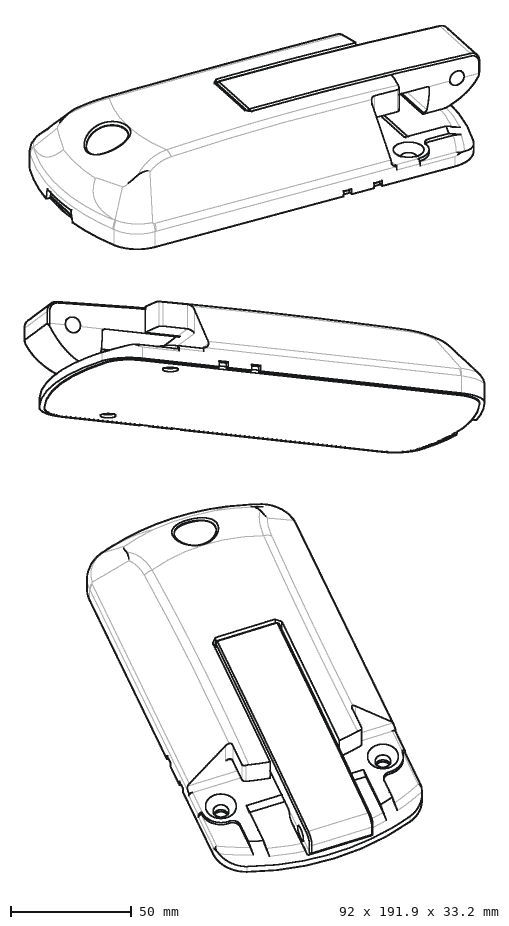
import cadquery as cq
import math

half_width = 46.0
half_length = 91.5
end_radius = 104.0
corner_radius = 15.0
total_height = 33.22
end_center = half_length - end_radius

plate_thickness = 1.35
plate_inset = 2.1
housing_bottom = 0.4

rim_height = 10.05
rim_fillet = 5.5
taper_angle = math.radians(48.75)
taper_top = 34.0
taper_top_corner = 6.5
top_edge_fillet = 4.8
core_inset = 0.03
core_foot_z = 0.0

crown_radius = 1760.0
crown_axis_y = -end_center
nose_radius = 34.0

deck_height = 7.95
rear_wall_y = 41.2
rear_wall_fillet = 2.3
deck_edge_fillet = 1.6
prong_half_width = 26.6
prong_underside = 21.4
prong_end_y = 58.9
prong_end_radius = 102.0
prong_corner_fillet = 1.5

slope_start = 93.8
slope_drop_per_mm = 0.375
pocket_floor = 6.5
pocket_crease = 96.7
pocket_edge = 100.2
pocket_half_width = 26.0
pocket_ramp_start = 58.0
pocket_ramp_end = 60.75
corner_pocket_inner_x = 32.0
corner_pocket_fillet = 3.4
corner_pocket_edge_fillet = 1.2
corner_pocket_setback = 1.0
cutter_top = 60.0

screw_x = 36.0
screw_y = 54.5
screw_diameter = 6.4
countersink_diameter = 12.8
countersink_angle = 90.0
screw_pad_radius = 8.5

clip_half_width = 14.1
clip_front_y = -9.2
clip_rear_y = 100.43
clip_underside = prong_underside
clip_rear_corner = 4.5
clip_edge_chamfer = 0.8
foot_front_y = 76.3
foot_rear_y = 85.5
heel_y = 95.8
heel_z = 14.6
toe_length = 1.5
toe_height = 0.9
foot_bottom = 7.0
foot_narrowing = 3.0
foot_inner_fillet = 1.2
pivot_y = 89.35
pivot_z = 21.7
pivot_diameter = 6.7
slot_gap = 1.3
slot_corner = 2.2

button_y = -68.2
button_radius = 8.7
button_chamfer = 1.0
button_sink = 1.3
button_bottom = 18.0

front_notch_bottom_half = 11.4
front_notch_top_half = 10.2
front_notch_height = 5.75
front_notch_depth = 2.5
side_notch_width = 3.9
side_notch_height = 2.9
side_notch_centers = (34.65, 20.25)


def outline(inset, radius, height):
    """Closed plan outline, moved inward by inset, with the given corner radius."""
    side = half_width - inset
    bow = end_radius - inset
    front = half_length - inset
    bow_center = front - bow
    corner_x = side - radius
    corner_y = bow_center + math.sqrt((bow - radius) ** 2 - corner_x ** 2)
    spread = math.atan2(corner_x, corner_y - bow_center)
    join = (bow * math.sin(spread), bow_center + bow * math.cos(spread))
    turn = (math.pi / 2 - spread) / 2
    middle = (corner_x + radius * math.cos(turn), corner_y + radius * math.sin(turn))
    return (
        cq.Workplane("XY").workplane(offset=height)
        .moveTo(side, -corner_y).lineTo(side, corner_y)
        .threePointArc(middle, join)
        .threePointArc((0, front), (-join[0], join[1]))
        .threePointArc((-middle[0], middle[1]), (-side, corner_y))
        .lineTo(-side, -corner_y)
        .threePointArc((-middle[0], -middle[1]), (-join[0], -join[1]))
        .threePointArc((0, -front), (join[0], -join[1]))
        .threePointArc((middle[0], -middle[1]), (side, -corner_y))
        .close()
    )


def block(x_min, x_max, y_min, y_max, z_min, z_max):
    return cq.Workplane("XY").box(
        x_max - x_min, y_max - y_min, z_max - z_min, centered=False
    ).translate((x_min, y_min, z_min))


def crown_height(distance):
    """Height of the crowned top at a distance from the crown axis."""
    return total_height - crown_radius + math.sqrt(crown_radius ** 2 - distance ** 2)


def turned(profile, axis_y):
    """Turns a closed radius-height profile about a vertical axis at X = 0, seam to the rear."""
    solid = profile.revolve(360, (0, 0, 0), (0, 1, 0))
    return solid.rotate((0, 0, 0), (0, 0, 1), 90).translate((0, axis_y, 0))


crown_lean = taper_angle - math.acos(
    (
        (end_radius - core_inset) * math.sin(taper_angle)
        + (rim_height + crown_radius - total_height) * math.cos(taper_angle)
        - nose_radius
    ) / (crown_radius - nose_radius)
)
nose_start = crown_radius * math.sin(crown_lean)
nose_center = (
    nose_start - nose_radius * math.sin(crown_lean),
    crown_height(nose_start) - nose_radius * math.cos(crown_lean),
)


def nose_point(angle, radius=nose_radius):
    return (
        nose_center[0] + radius * math.sin(angle),
        nose_center[1] + radius * math.cos(angle),
    )


def slope_run(height):
    """Plan distance that a sloped wall covers while rising by height."""
    return height / math.tan(taper_angle)


def crowned_dome():
    foot = end_radius - core_inset + slope_run(rim_height - core_foot_z)
    profile = (
        cq.Workplane("XZ").moveTo(0, core_foot_z).lineTo(foot, core_foot_z)
        .lineTo(*nose_point(taper_angle))
        .threePointArc(
            nose_point((crown_lean + taper_angle) / 2),
            (nose_start, crown_height(nose_start)),
        )
        .threePointArc((nose_start / 2, crown_height(nose_start / 2)), (0, total_height))
        .close()
    )
    return turned(profile, crown_axis_y)


def crowned_core():
    """Sloped sides under the crown, with the long top edges and the hips of the nose rounded."""
    foot = half_width - core_inset + slope_run(rim_height - core_foot_z)
    ridge = half_width - core_inset - slope_run(taper_top - rim_height)
    prism = (
        cq.Workplane("XZ")
        .polyline([(foot, core_foot_z), (ridge, taper_top), (-ridge, taper_top), (-foot, core_foot_z)])
        .close().extrude(half_length + prong_end_y + corner_radius)
        .translate((0, prong_end_y, 0))
    )
    core = crowned_dome().intersect(prism)
    edges = [
        edge for edge in core.edges().vals()
        if abs(edge.Center().x) > prong_half_width / 2
        and edge.BoundingBox().ylen > top_edge_fillet / 2
        and edge.BoundingBox().zmax > rim_height
    ]
    return core.newObject(edges).fillet(top_edge_fillet)


def walled_block():
    """Straight rim and tapered walls with corners that tighten toward the top."""
    rim = outline(0, corner_radius, housing_bottom).extrude(rim_height - housing_bottom)
    lower = outline(0, corner_radius, rim_height).val()
    upper = outline(slope_run(taper_top - rim_height), taper_top_corner, taper_top).val()
    taper = cq.Workplane(cq.Solid.makeLoft([lower, upper], True))
    rim_band = cq.selectors.BoxSelector(
        (-half_length, -half_length - 1, rim_height - 0.1),
        (half_length, half_length + 1, rim_height + 0.1),
        boundingbox=True,
    )
    return rim.union(taper).edges(rim_band).fillet(rim_fillet)


def rear_space():
    """Open space above the deck, leaving the prongs overhanging it."""
    far = half_length + corner_radius
    space = block(-far, far, rear_wall_y, far, deck_height, cutter_top)
    prongs = block(
        -prong_half_width, prong_half_width, 0, prong_end_y, prong_underside, cutter_top
    ).intersect(
        cq.Workplane("XY").circle(prong_end_radius).extrude(cutter_top)
        .translate((0, prong_end_y - prong_end_radius, 0))
    ).edges("|Z").edges(">Y").fillet(prong_corner_fillet)
    space = space.cut(prongs)
    level = [
        edge for edge in space.edges("|X").vals()
        if abs(edge.Center().y - rear_wall_y) < 0.01 and edge.Center().z < cutter_top
    ]
    upright = [
        edge for edge in space.edges("|Z").vals()
        if abs(edge.Center().y - rear_wall_y) < 0.01 and abs(edge.Center().x) < half_width
    ]
    return space.newObject(level + upright).fillet(rear_wall_fillet)


def deck_slope():
    """Ring that bevels the deck down toward the bowed rear end."""
    reach = end_radius + corner_radius
    low = deck_height - slope_drop_per_mm * (reach - slope_start)
    profile = (
        cq.Workplane("XZ")
        .polyline([(slope_start, deck_height), (reach, low), (reach, deck_height)]).close()
    )
    return turned(profile, end_center).intersect(
        block(-half_length, half_length, rear_wall_y, 2 * half_length, -cutter_top, cutter_top)
    )


def pocket_ring(setback=0):
    """Turned cutter whose floor is flat, then ramps down to run out on the deck slope."""
    edge = pocket_edge - setback
    edge_z = deck_height - slope_drop_per_mm * (edge - slope_start)
    profile = (
        cq.Workplane("XZ")
        .polyline([
            (0, pocket_floor), (pocket_crease - setback, pocket_floor), (edge, edge_z),
            (edge, prong_underside), (0, prong_underside),
        ])
        .close()
    )
    return turned(profile, end_center)


def center_pocket():
    far = 2 * half_length
    area = (
        cq.Workplane("YZ")
        .polyline([
            (pocket_ramp_end, pocket_floor), (far, pocket_floor - deck_height),
            (far, deck_height), (pocket_ramp_start, deck_height),
        ]).close().extrude(pocket_half_width, both=True)
    )
    return pocket_ring().intersect(area)


def corner_pocket():
    """Right-hand corner pocket, kept clear of the screw pad."""
    area = block(
        corner_pocket_inner_x, half_length, screw_y, 2 * half_length, 0, prong_underside
    )
    pad = cq.Workplane("XY").center(screw_x, screw_y).circle(screw_pad_radius).extrude(cutter_top)
    area = area.cut(pad)
    pad_x = corner_pocket_inner_x
    pad_y = screw_y + math.sqrt(screw_pad_radius ** 2 - (screw_x - pad_x) ** 2)
    near = cq.selectors.BoxSelector(
        (pad_x - 0.1, pad_y - 0.1, -1), (pad_x + 0.1, pad_y + 0.1, cutter_top), boundingbox=True
    )
    return pocket_ring(corner_pocket_setback).intersect(area.edges(near).fillet(corner_pocket_fillet))


def both_sides(shape):
    return shape.union(shape.mirror("YZ"))


def clip_slot():
    half = clip_half_width + slot_gap
    front = clip_front_y - slot_gap
    slot = block(-half, half, front, half_length, clip_underside, cutter_top)
    return slot.edges("|Z and <Y").chamfer(slot_corner)


def rim_notches():
    front = (
        cq.Workplane("XZ")
        .polyline([
            (-front_notch_bottom_half, 0), (front_notch_bottom_half, 0),
            (front_notch_top_half, front_notch_height),
            (-front_notch_top_half, front_notch_height),
        ]).close().extrude(end_radius).translate((0, front_notch_depth - half_length, 0))
    )
    notches = front
    for y in side_notch_centers:
        side = block(
            half_width - plate_inset, end_radius,
            y - side_notch_width / 2, y + side_notch_width / 2, 0, side_notch_height,
        )
        notches = notches.union(both_sides(side))
    return notches


def screw_holes(shape):
    """Countersunk holes from the deck down through everything."""
    return (
        shape.copyWorkplane(cq.Workplane("XY", origin=(0, 0, deck_height)))
        .pushPoints([(-screw_x, screw_y), (screw_x, screw_y)])
        .cskHole(screw_diameter, countersink_diameter, countersink_angle)
    )


def back_plate_outline():
    return outline(plate_inset, corner_radius - plate_inset, 0).extrude(plate_thickness)


def make_back_plate():
    shape = back_plate_outline()
    holes = (
        cq.Workplane("XY").pushPoints([(-screw_x, screw_y), (screw_x, screw_y)])
        .circle(screw_diameter / 2).extrude(plate_thickness)
    )
    return shape.cut(holes)


def button_hole():
    return (
        cq.Workplane("XY").workplane(offset=button_bottom).center(0, button_y)
        .circle(button_radius).extrude(cutter_top)
    )


def side_rounding(top, radius, start):
    """Cutter that rounds both straight outer edges of a floor at height top, rearward from start."""
    center_x = half_width - radius
    center_z = top - radius
    strip = block(center_x, half_length, start, half_length, center_z, deck_height + radius)
    rod = cq.Workplane("XZ").center(center_x, center_z).circle(radius).extrude(-half_length)
    return both_sides(strip.cut(rod))


def chamfer_button_hole(shape):
    """Chamfers the mouth of the button hole on the nose surface."""
    mouth = [
        edge for edge in shape.edges().vals()
        if edge.Center().z > button_bottom + button_chamfer
        and abs(edge.Center().x) < button_radius
        and abs(edge.Center().y - button_y) < button_radius
    ]
    return shape.newObject(mouth).chamfer(button_chamfer)


def make_housing():
    deck = block(-half_length, half_length, rear_wall_y, 2 * half_length, 0, deck_height)
    shape = walled_block().intersect(crowned_core().union(deck))
    shape = shape.cut(rear_space()).cut(deck_slope())
    shape = shape.cut(side_rounding(deck_height, deck_edge_fillet, rear_wall_y + rear_wall_fillet))
    shape = shape.cut(center_pocket()).cut(both_sides(corner_pocket()))
    shape = shape.cut(side_rounding(pocket_floor, corner_pocket_edge_fillet, screw_y))
    shape = shape.cut(clip_slot()).cut(rim_notches()).cut(back_plate_outline())
    shape = screw_holes(shape).cut(button_hole())
    return chamfer_button_hole(shape)


def make_button():
    sunk = nose_radius - button_sink
    def sunk_point(angle):
        distance, height = nose_point(angle, sunk)
        return (crown_axis_y - distance, height)

    front = sunk_point(taper_angle)
    rear = sunk_point(0)
    side = (
        cq.Workplane("YZ")
        .moveTo(rear[0], button_bottom).lineTo(*rear)
        .threePointArc(sunk_point(taper_angle / 2), front)
        .lineTo(front[0], button_bottom)
        .close().extrude(button_radius, both=True)
    )
    return button_hole().intersect(side)


def clip_section():
    """Cross-section of the clip: upright above the hinge line, drawn in toward the foot."""
    foot_half = clip_half_width - foot_narrowing
    bulge_z = (clip_underside + foot_bottom) / 2
    bulge_half = clip_half_width - foot_narrowing / 4
    return (
        cq.Workplane("XZ")
        .moveTo(-clip_half_width, clip_underside).lineTo(-clip_half_width, cutter_top)
        .lineTo(clip_half_width, cutter_top).lineTo(clip_half_width, clip_underside)
        .threePointArc((bulge_half, bulge_z), (foot_half, foot_bottom))
        .lineTo(-foot_half, foot_bottom)
        .threePointArc((-bulge_half, bulge_z), (-clip_half_width, clip_underside))
        .close().extrude(2 * half_length, both=True)
    )


def make_clip():
    side = (
        cq.Workplane("YZ")
        .moveTo(clip_front_y, clip_underside)
        .lineTo(clip_front_y, crown_height(clip_front_y - crown_axis_y))
        .threePointArc(
            (crown_axis_y, total_height),
            (clip_rear_y, crown_height(clip_rear_y - crown_axis_y)),
        )
        .lineTo(clip_rear_y, clip_underside)
        .threePointArc((heel_y, heel_z), (foot_rear_y, foot_bottom))
        .lineTo(foot_front_y - toe_length, foot_bottom)
        .lineTo(foot_front_y - toe_length, foot_bottom + toe_height)
        .lineTo(foot_front_y, foot_bottom + toe_height)
        .lineTo(foot_front_y, clip_underside)
        .close().extrude(clip_half_width, both=True)
    )
    inner_corners = cq.selectors.BoxSelector(
        (-half_width, foot_front_y - 0.1, foot_bottom + 0.1),
        (half_width, foot_front_y + 0.1, clip_underside + 0.1),
        boundingbox=True,
    )
    side = side.edges(inner_corners).edges("|X").fillet(foot_inner_fillet)
    side = side.edges("|X and >Y").edges(">Z").fillet(clip_rear_corner)
    side = side.edges("|Z and <Y").chamfer(clip_edge_chamfer)
    top_edges = [
        edge for edge in side.faces(">Z").edges().vals()
        if edge.Center().y < clip_rear_y - 2 * clip_rear_corner
    ]
    side = side.newObject(top_edges).chamfer(clip_edge_chamfer)
    side = side.intersect(clip_section())
    pivot = (
        cq.Workplane("YZ").center(pivot_y, pivot_z).circle(pivot_diameter / 2)
        .extrude(clip_half_width, both=True)
    )
    return side.cut(pivot)


housing = make_housing()
back_plate = make_back_plate()
clip = make_clip()
button = make_button()
result = cq.Compound.makeCompound([housing.val(), back_plate.val(), clip.val(), button.val()])